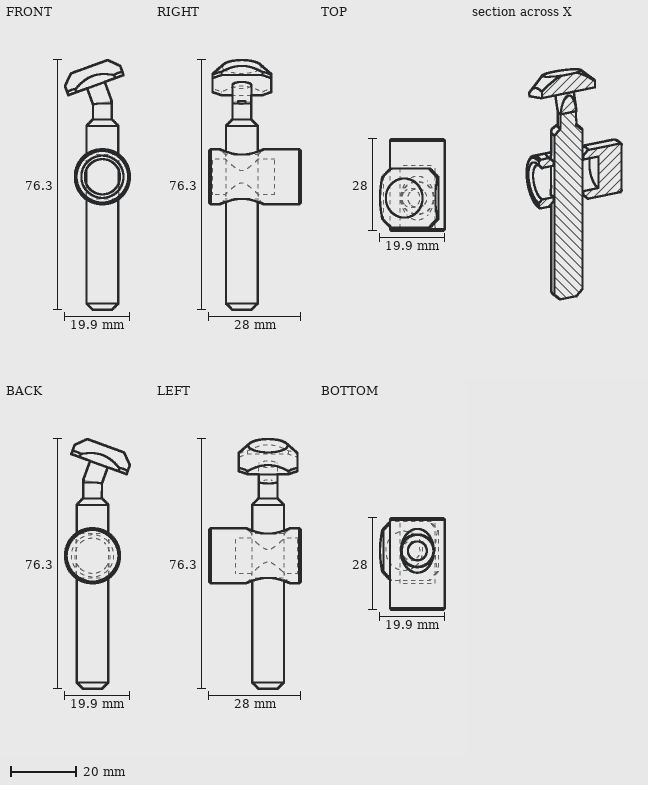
import cadquery as cq
import math


sleeve_diameter = 16.9
sleeve_front = 10.0
sleeve_back = 18.0
sleeve_length = sleeve_front + sleeve_back
bore_diameter = 10.8
bore_chamfer = 1.1
rim_chamfer = 0.5
bore_depth = 20.0
cross_hole_diameter = 10.1

rod_diameter = 9.8
rod_bottom = -40.7
neck_diameter = 5.8
foot_diameter = neck_diameter
foot_chamfer = (rod_diameter - foot_diameter) / 2
shoulder_height = 15.6
shoulder_slope = (rod_diameter - neck_diameter) / 2
neck_top = 22.45

elbow_height = 22.6
tilt = 20
stem_length = 5.7
head_width = 18.0
head_corner = 2.75
head_height = 6.0
head_top_diameter = 12.0


def make_cross_hole():
    """Cutter for the cross hole, flaring at 45 degrees where it breaks out of the sleeve."""
    hole_radius = cross_hole_diameter / 2
    outer_height = sleeve_diameter / 2
    flare_start = math.sqrt(outer_height**2 - hole_radius**2)
    flare_radius = hole_radius + outer_height - flare_start
    profile = [
        (0, -outer_height),
        (flare_radius, -outer_height),
        (hole_radius, -flare_start),
        (hole_radius, flare_start),
        (flare_radius, outer_height),
        (0, outer_height),
    ]
    return cq.Workplane("XZ").polyline(profile).close().revolve(360, (0, 0), (0, 1))


def make_sleeve():
    bar = (
        cq.Workplane("XZ", origin=(0, sleeve_back, 0))
        .circle(sleeve_diameter / 2)
        .extrude(sleeve_length)
        .faces("<Y or >Y")
        .chamfer(rim_chamfer)
    )
    bored = bar.faces("<Y").workplane(origin=(0, -sleeve_front, 0)).hole(bore_diameter, bore_depth)
    bore_rim = bored.faces("<Y").edges(cq.selectors.RadiusNthSelector(0))
    return bore_rim.chamfer(bore_chamfer).cut(make_cross_hole())


def make_stem():
    """Stem that bends at the elbow, with its joint face level at the neck top."""
    radius = neck_diameter / 2
    mitre_rise = radius * math.tan(math.radians(tilt / 2))
    upright_profile = [(-radius, -mitre_rise), (radius, mitre_rise), (radius, -mitre_rise)]
    tilted_profile = [
        (-radius, mitre_rise),
        (radius, -mitre_rise),
        (radius, stem_length),
        (-radius, stem_length),
    ]

    def mitred_half(profile, bottom, height):
        outline = cq.Workplane("XZ").polyline(profile).close().extrude(radius, both=True)
        cylinder = cq.Workplane("XY").workplane(offset=bottom).circle(radius).extrude(height)
        return cylinder.intersect(outline)

    joint_drop = neck_top - elbow_height
    upright = mitred_half(upright_profile, joint_drop, mitre_rise - joint_drop)
    tilted = mitred_half(tilted_profile, -mitre_rise, stem_length + mitre_rise)
    return upright, tilted


def make_head():
    """Square head with cut corners, trimmed by a 45 degree cone."""
    block = (
        cq.Workplane("XY")
        .rect(head_width, head_width)
        .extrude(head_height)
        .edges("|Z")
        .chamfer(head_corner)
    )
    top_radius = head_top_diameter / 2
    cone = (
        cq.Workplane("XZ")
        .polyline([(0, 0), (top_radius + head_height, 0), (top_radius, head_height), (0, head_height)])
        .close()
        .revolve(360, (0, 0), (0, 1))
    )
    return block.intersect(cone).translate((0, 0, stem_length))


def make_knob():
    upright, tilted = make_stem()
    tilted_part = tilted.union(make_head()).rotate((0, 0, 0), (0, 1, 0), -tilt)
    return upright.union(tilted_part).translate((0, 0, elbow_height))


def make_rod(knob):
    profile = [
        (0, rod_bottom),
        (foot_diameter / 2, rod_bottom),
        (rod_diameter / 2, rod_bottom + foot_chamfer),
        (rod_diameter / 2, shoulder_height),
        (neck_diameter / 2, shoulder_height + shoulder_slope),
        (neck_diameter / 2, neck_top),
        (0, neck_top),
    ]
    rod = cq.Workplane("XZ").polyline(profile).close().revolve(360, (0, 0), (0, 1))
    return rod.cut(knob)


sleeve = make_sleeve()
knob = make_knob()
rod = make_rod(knob)

result = cq.Compound.makeCompound([sleeve.val(), rod.val(), knob.val()])